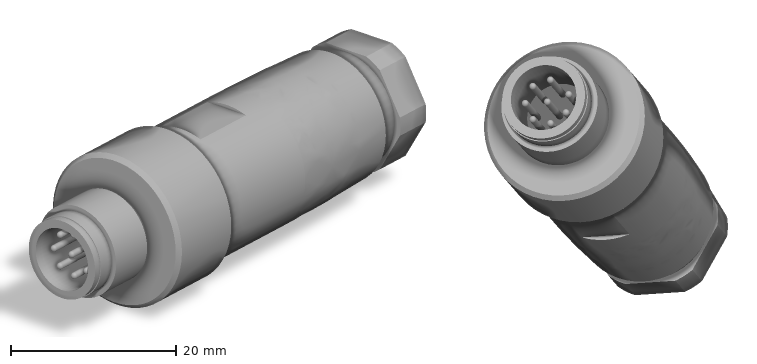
import cadquery as cq
import math

length = 60.0
tip_land_end = 0.95
spigot_end = 3.0
coupler_end = 9.0
head_front = 10.2
head_back = 20.3
body_front = 20.95
taper_start = 35.9
body_back = 52.0
nut_length = 5.0
nut_front = length - nut_length

tip_land_radius = 5.15
spigot_radius = 5.3
coupler_radius = 6.0
plug_neck_radius = 5.0
head_radius = 10.0
head_chamfer = 0.55
groove_radius = 8.0
body_radius = 9.0
body_back_radius = 8.6
nut_neck_radius = 7.5

nut_across_flats = 15.7
nut_corner_radius = 8.45

flat_width = 6.0
flat_front = 23.1
flat_length = 8.75

socket_radius = 4.1
socket_depth = 8.4
pin_radius = 0.4
pin_recess = 1.5
pin_circle_radius = 2.75
outer_pin_count = 7
first_pin_angle = 82.0
pin_pitch_angle = 49.0


def along_axis(y):
    """Workplane normal to +Y at the given position; its local axes are X and -Z."""
    return cq.Workplane(cq.Plane(origin=(0, y, 0), xDir=(1, 0, 0), normal=(0, 1, 0)))


def make_turned_shell():
    """Revolve the stepped outline; the rear of the body curves in from a tangent start."""
    return (
        cq.Workplane("XY")
        .lineTo(tip_land_radius, 0)
        .lineTo(tip_land_radius, tip_land_end)
        .lineTo(spigot_radius, tip_land_end)
        .lineTo(spigot_radius, spigot_end)
        .lineTo(coupler_radius, spigot_end)
        .lineTo(coupler_radius, coupler_end)
        .lineTo(plug_neck_radius, coupler_end)
        .lineTo(plug_neck_radius, head_front)
        .lineTo(head_radius - head_chamfer, head_front)
        .lineTo(head_radius, head_front + head_chamfer)
        .lineTo(head_radius, head_back)
        .lineTo(groove_radius, head_back)
        .lineTo(groove_radius, body_front)
        .lineTo(body_radius, body_front)
        .lineTo(body_radius, taper_start)
        .tangentArcPoint((body_back_radius, body_back), relative=False)
        .lineTo(nut_neck_radius, body_back)
        .lineTo(nut_neck_radius, nut_front)
        .lineTo(0, nut_front)
        .close()
        .revolve(360, (0, 0), (0, 1))
    )


def make_nut():
    """Hexagon with flats facing +Z and -Z, its corners turned to a cylinder."""
    across_corners = nut_across_flats / math.cos(math.radians(30))
    hexagon = along_axis(nut_front).polygon(6, across_corners).extrude(nut_length)
    corner_cylinder = along_axis(nut_front).circle(nut_corner_radius).extrude(nut_length)
    return hexagon.intersect(corner_cylinder)


def make_flat_cutter(side):
    """Block removing the body above (side = 1) or below (side = -1) a grip flat."""
    flat_height = math.sqrt(body_radius**2 - (flat_width / 2) ** 2)
    center = (0, flat_front + flat_length / 2, side * (flat_height + body_radius / 2))
    return cq.Workplane("XY", origin=center).box(2 * body_radius, flat_length, body_radius)


def make_pins():
    """One central contact and a partial ring of round-tipped contacts standing on the socket floor."""
    centers = [(0, 0)]
    for index in range(outer_pin_count):
        angle = math.radians(first_pin_angle + index * pin_pitch_angle)
        centers.append((pin_circle_radius * math.cos(angle), -pin_circle_radius * math.sin(angle)))
    dome_center = pin_recess + pin_radius
    shafts = (
        along_axis(dome_center)
        .pushPoints(centers)
        .circle(pin_radius)
        .extrude(socket_depth - dome_center)
    )
    domes = along_axis(dome_center).pushPoints(centers).sphere(pin_radius)
    return shafts.union(domes)


result = make_turned_shell().union(make_nut())
for side in (1, -1):
    result = result.cut(make_flat_cutter(side))
socket = along_axis(0).circle(socket_radius).extrude(socket_depth)
result = result.cut(socket).union(make_pins())